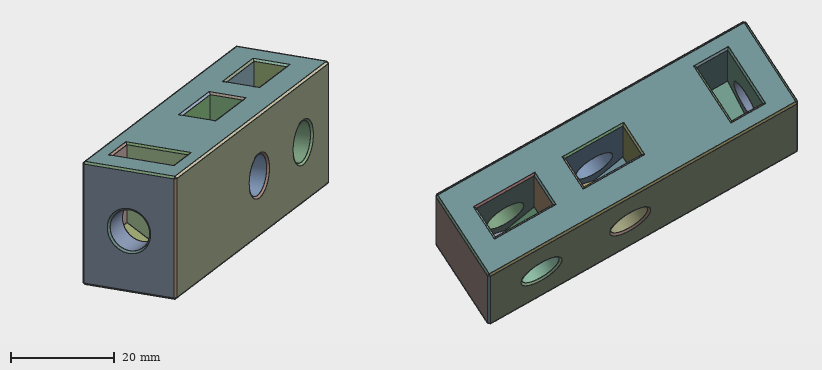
import cadquery as cq
import math

length = 70.0
width = 20.0
height = 25.4
edge_chamfer = 0.4

hole_diameter = 8.4
hole_height = height / 2
hole_chamfer = 0.4
first_hole_inset = 12.0
cross_hole_spacing = 20.0
first_hole_y = length / 2 - first_hole_inset
cross_hole_ys = (first_hole_y, first_hole_y - cross_hole_spacing)

nut_flats = 13.0
nut_thickness = 7.0
pocket_chamfer = 0.4
end_pocket_inset = 9.5
end_hole_depth = end_pocket_inset + nut_thickness / 2

block = cq.Workplane("XY").box(width, length, height, centered=(True, True, False))
block = block.edges().chamfer(edge_chamfer)


def bolt_hole(depth):
    """Hole along +X from X = 0, with a chamfered mouth at X = 0."""
    radius = hole_diameter / 2
    mouth = radius + hole_chamfer
    profile = [(0, 0), (0, mouth), (hole_chamfer, radius), (depth, radius), (depth, 0)]
    return cq.Workplane("XY").polyline(profile).close().revolve(360, (0, 0, 0), (1, 0, 0))


def nut_pocket():
    """Pocket for a nut on the X axis, with a V-shaped floor and a chamfered mouth."""
    facet_angle = math.radians(30)
    half = nut_flats / 2
    top = height - hole_height
    shoulder = half * math.tan(facet_angle)
    tip = half / math.cos(facet_angle)
    outline = [(-half, top), (-half, -shoulder), (0, -tip), (half, -shoulder), (half, top)]
    slot = cq.Workplane("YZ").polyline(outline).close().extrude(nut_thickness / 2, both=True)
    mouth = (
        cq.Workplane("XY", origin=(0, 0, top - pocket_chamfer))
        .rect(nut_thickness, nut_flats)
        .workplane(offset=pocket_chamfer)
        .rect(nut_thickness + 2 * pocket_chamfer, nut_flats + 2 * pocket_chamfer)
        .loft(ruled=True)
    )
    return slot.union(mouth)


for y in cross_hole_ys:
    hole = bolt_hole(width).translate((-width / 2, y, hole_height))
    far_mouth = bolt_hole(width / 2).mirror("YZ").translate((width / 2, y, hole_height))
    block = block.cut(hole).cut(far_mouth).cut(nut_pocket().translate((0, y, hole_height)))

quarter_turn = ((0, 0, 0), (0, 0, 1), 90)
end_hole = bolt_hole(end_hole_depth).rotate(*quarter_turn)
end_pocket = nut_pocket().rotate(*quarter_turn)
block = block.cut(end_hole.translate((0, -length / 2, hole_height)))
block = block.cut(end_pocket.translate((0, end_pocket_inset - length / 2, hole_height)))

result = block